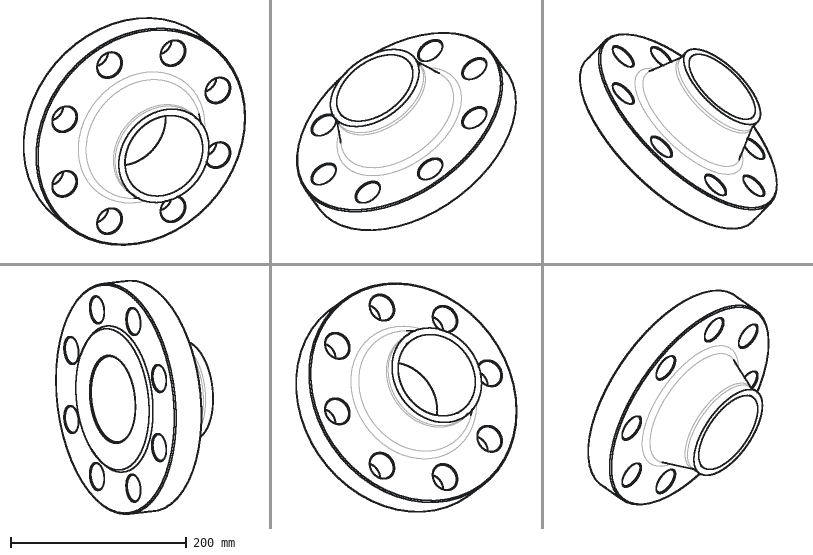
import cadquery as cq

flange_diameter = 265.0
overall_length = 100.0
flange_back = 40.0
edge_chamfer = 1.5

face_height = 3.5
face_base_diameter = 168.0
face_diameter = 162.2

pipe_diameter = 114.2
pipe_length = 12.2
hub_diameter = 149.2
hub_fillet = 8.0
pipe_blend_radius = 9.5
bore_diameter = 98.3
bore_chamfer = 1.3

hole_count = 8
hole_diameter = 30.0
hole_chamfer = 1.0
bolt_circle_diameter = 210.0

selection_margin = 0.3

face_x = -overall_length / 2
rim_front_x = face_x + face_height
rim_back_x = face_x + flange_back
end_x = face_x + overall_length
pipe_start_x = end_x - pipe_length


def circle_at(x, radius):
    """Select the circular edge of the given radius lying at x on the axis."""
    reach = radius + selection_margin
    return cq.selectors.BoxSelector(
        (x - selection_margin, -reach, -reach),
        (x + selection_margin, reach, reach),
        boundingbox=True,
    )


def make_body():
    """Revolve the solid outline of the flange and its neck about X."""
    body = (
        cq.Workplane("XY")
        .moveTo(face_x, 0)
        .lineTo(face_x, face_diameter / 2)
        .lineTo(rim_front_x, face_base_diameter / 2)
        .lineTo(rim_front_x, flange_diameter / 2)
        .lineTo(rim_back_x, flange_diameter / 2)
        .lineTo(rim_back_x, hub_diameter / 2)
        .lineTo(pipe_start_x, pipe_diameter / 2)
        .lineTo(end_x, pipe_diameter / 2)
        .lineTo(end_x, 0)
        .close()
        .revolve(360, (0, 0, 0), (1, 0, 0))
    )
    rim_edges = cq.selectors.RadiusNthSelector(-1)
    body = body.edges(rim_edges).chamfer(edge_chamfer)
    hub_corner = circle_at(rim_back_x, hub_diameter / 2)
    pipe_corner = circle_at(pipe_start_x, pipe_diameter / 2)
    body = body.edges(hub_corner).fillet(hub_fillet)
    return body.edges(pipe_corner).fillet(pipe_blend_radius)


def hole_cutter(start_x, end_x, diameter, start_chamfer, end_chamfer=0):
    """Cutter along X from start_x to end_x, with chamfered mouths."""
    length = end_x - start_x
    cutter = cq.Workplane("YZ", origin=(start_x, 0, 0)).circle(diameter / 2).extrude(length)
    cutter = cutter.union(mouth_cone(start_x, diameter, start_chamfer, 1))
    if end_chamfer > 0:
        cutter = cutter.union(mouth_cone(end_x, diameter, end_chamfer, -1))
    return cutter


def mouth_cone(x, diameter, chamfer, direction):
    """Cone at a hole mouth, narrowing to the hole diameter along direction (+1 or -1)."""
    radius = diameter / 2
    cone = cq.Solid.makeCone(
        radius + chamfer, radius, chamfer, cq.Vector(x, 0, 0), cq.Vector(direction, 0, 0)
    )
    return cq.Workplane(obj=cone)


result = make_body().cut(hole_cutter(face_x, end_x, bore_diameter, bore_chamfer))

bolt_hole = hole_cutter(rim_front_x, rim_back_x, hole_diameter, hole_chamfer, hole_chamfer)
hole_pitch = 360 / hole_count
for index in range(hole_count):
    angle = (index + 0.5) * hole_pitch
    hole = bolt_hole.translate((0, bolt_circle_diameter / 2, 0)).rotate((0, 0, 0), (1, 0, 0), angle)
    result = result.cut(hole)